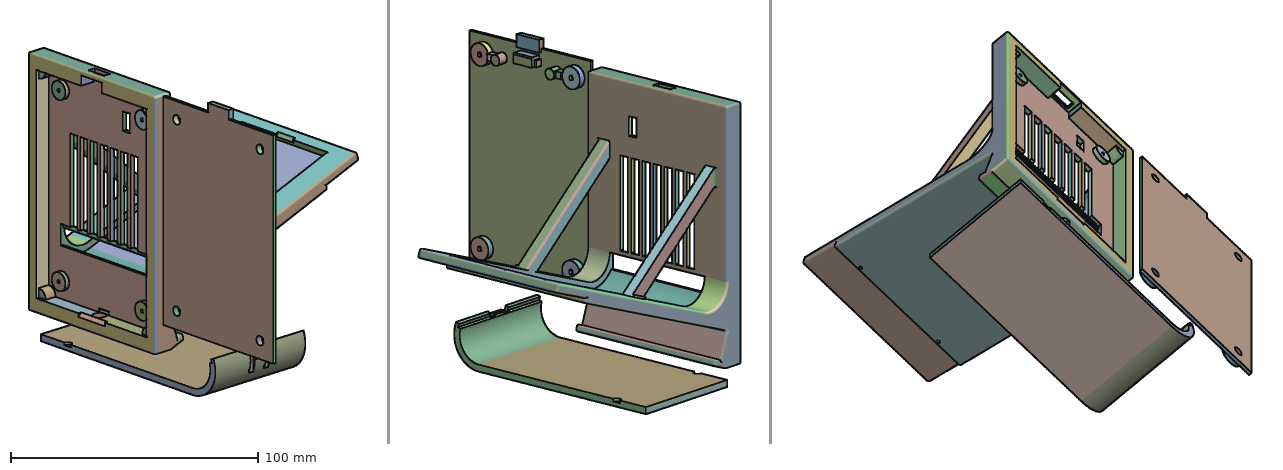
import cadquery as cq
import math

OVERALL_X = 144.8
OVERALL_Y = 113.7
OVERALL_Z = 127.7
CUT = 1.5
EDGE_R = 1.0

HOUSING_W = 75.0
HOUSING_H = 110.9
HOUSING_D = 9.0
HOUSING_TOP = 122.2
HOUSING_BOTTOM = HOUSING_TOP - HOUSING_H
HOUSING_MID_X = HOUSING_W / 2

OPENING_W = 65.0
OPENING_H = 98.0
BOX_DEPTH = 7.0
OPENING_X0 = (HOUSING_W - OPENING_W) / 2
OPENING_X1 = OPENING_X0 + OPENING_W
OPENING_Z0 = HOUSING_BOTTOM + (HOUSING_H - OPENING_H) / 2
OPENING_Z1 = OPENING_Z0 + OPENING_H

SCREW_INSET = 8.0
BOSS_R = 4.0
BOSS_LENGTH = 2.0
PILOT_D = 1.3
COVER_T = 1.5

TAB_W = 12.2
TAB_NOTCH_H = 4.5
LATCH_SLOT_W = 9.1
LATCH_Y0 = 2.8
LATCH_Y1 = 6.1

CABLE_HOLE_R = 2.9
CABLE_HOLE_Y = 4.5
CABLE_NOTCH_H = 1.6
FINGER_W = 15.6
FINGER_DEPTH = 1.6

GRILLE_COUNT = 7
GRILLE_PITCH = 6.0
GRILLE_SLOT_W = 4.0
GRILLE_Z0 = 49.8
GRILLE_Z1 = 90.0

PORT_X = 50.7
PORT_Z = 103.4
PORT_W = 4.0
PORT_H = 8.4

TRAY_ANGLE = 20.0
TRAY_COS = math.cos(math.radians(TRAY_ANGLE))
TRAY_SIN = math.sin(math.radians(TRAY_ANGLE))
TRAY_Z = 33.6
TRAY_TIP_T = 4.0
TRAY_T = 6.0
TIP_ROUND_LOSS = 0.22
TRAY_TIP = (OVERALL_Y - HOUSING_D - TRAY_TIP_T * TRAY_SIN) / TRAY_COS + TIP_ROUND_LOSS
TRAY_STEP = 91.0
CORNER_R = 10.0

HEEL_BACK = -2.5
FOOT_END = 0.6
FOOT_TOP_DEPTH = 18.0
FOOT_BOTTOM_DEPTH = 21.0

RECESS_W = 50.8
RECESS_DEPTH = 3.0
RECESS_END = 104.5
RECESS_X0 = HOUSING_MID_X - RECESS_W / 2
PRY_W = 10.0
PRY_L = 1.5
PIN_INSET = 2.3
PIN_ALONG = 89.0
WINDOW_Z0 = 40.5
WINDOW_DEPTH = 1.5

STRUT_ANGLE = 40.0
STRUT_T = 6.2
STRUT_W = 5.4
STRUT_TOP_Z = 95.1
BLEND_R = 1.0

COVER_H = 98.0
COVER_X0 = OVERALL_X - OPENING_W
COVER_MID_X = OVERALL_X - OPENING_W / 2
TAB_H = 4.0
TAB_T = 2.8
COVER_Z1 = OVERALL_Z - TAB_H
COVER_Z0 = COVER_Z1 - COVER_H
COVER_BOSS_R = 4.8
COVER_BOSS_Y = 4.3
SCREW_D = 2.0
SCREW_HEAD_D = 4.0
SCREW_HEAD_DEPTH = 2.9
STUD_R = 2.3
STUD_Y = 6.1
STUD_OFFSET = 14.6
WEB_T = 2.9
WEB_Y = 5.0
CATCH_DROP = 7.2
CATCH_BASE_Y = 4.5
CATCH_BASE_H = 2.9
CATCH_W = 9.8
CATCH_H = 4.3
CATCH_BEVEL = 0.6

BASE_X0 = 7.7
BASE_W = 50.1
BASE_T = 3.0
CURL_R = 13.3
CURL_X = 97.3
CURL_RISE = 24.0
LIP_T = 1.6
LIP_TOP = 18.5
SNAP_SLOT_W = 2.5
SNAP_TONGUE_W = 6.1
SNAP_FLOOR_Z = 16.2
SNAP_BACK_X = 109.5
TONGUE_BACK_X = 110.2
TONGUE_TOP_Z = 17.4
EDGE_NOTCH_X = 23.5
EDGE_NOTCH_R = 1.9
EDGE_NOTCH_DEPTH = 1.2


def box(x0, x1, y0, y1, z0, z1):
    return cq.Workplane("XY").box(x1 - x0, y1 - y0, z1 - z0, centered=False).translate((x0, y0, z0))


def y_cylinder(x, z, radius, y0, y1):
    return cq.Workplane("XZ").center(x, z).circle(radius).extrude(y0 - y1).translate((0, y0, 0))


def prism_x(points, x0, x1):
    return cq.Workplane("YZ").polyline(points).close().extrude(x1 - x0).translate((x0, 0, 0))


def tray_point(along, depth):
    """(Y, Z) of a point given along the tray's slope and below its top plane."""
    y = HOUSING_D + along * TRAY_COS + depth * TRAY_SIN
    z = TRAY_Z + along * TRAY_SIN - depth * TRAY_COS
    return (y, z)


def corner_points(x0, x1, z0, z1, inset):
    return [(x, z) for x in (x0 + inset, x1 - inset) for z in (z0 + inset, z1 - inset)]


def tray_prism(along0, along1, depth0, depth1, x0, x1):
    corners = [(along0, depth0), (along1, depth0), (along1, depth1), (along0, depth1)]
    return prism_x([tray_point(*corner) for corner in corners], x0, x1)


CORNER_Y = HOUSING_D + CORNER_R
CORNER_Z = TRAY_Z + CORNER_R * (TRAY_SIN + 1) / TRAY_COS


def housing_shell():
    foot_bottom = (HOUSING_BOTTOM - TRAY_Z + FOOT_BOTTOM_DEPTH * TRAY_COS) / TRAY_SIN
    profile = [
        (0, HOUSING_BOTTOM),
        (0, HOUSING_TOP),
        (HOUSING_D, HOUSING_TOP),
        (HOUSING_D, TRAY_Z),
        tray_point(TRAY_TIP, 0),
        tray_point(TRAY_TIP, TRAY_TIP_T),
        tray_point(TRAY_STEP, TRAY_TIP_T),
        tray_point(TRAY_STEP, TRAY_T),
        tray_point(HEEL_BACK, TRAY_T),
        tray_point(HEEL_BACK, FOOT_TOP_DEPTH),
        tray_point(FOOT_END, FOOT_TOP_DEPTH),
        tray_point(FOOT_END, FOOT_BOTTOM_DEPTH),
        tray_point(foot_bottom, FOOT_BOTTOM_DEPTH),
    ]
    rounded = [profile[i] for i in (0, 1, 2, 4, 5, 7, 8, 10, 11)]
    shell = prism_x(profile, 0, HOUSING_W)

    def edge_at(point):
        return cq.selectors.NearestToPointSelector((HOUSING_MID_X, *point))

    shell = shell.edges(edge_at((HOUSING_D, TRAY_Z))).fillet(CORNER_R)
    for point in rounded:
        shell = shell.edges("|X").edges(edge_at(point)).fillet(EDGE_R)
    return shell.faces("<X or >X").edges().fillet(EDGE_R)


def strut(x0):
    """Slanted brace whose inner edge lines up with the screen recess."""
    drop = math.tan(math.radians(STRUT_ANGLE))
    slope = math.tan(math.radians(TRAY_ANGLE))
    low_z = STRUT_TOP_Z - STRUT_T / math.cos(math.radians(STRUT_ANGLE))
    root = EDGE_R

    def on_tray(z):
        y = HOUSING_D + (z - TRAY_Z) / (drop + slope)
        return (y + root, z - (y + root - HOUSING_D) * drop)

    def on_wall(z):
        return (HOUSING_D - root, z + root * drop)

    profile = [on_wall(low_z), on_wall(STRUT_TOP_Z), on_tray(STRUT_TOP_Z), on_tray(low_z)]
    bar = prism_x(profile, x0, x0 + STRUT_W).edges(">X and (not |Y) and (not |Z)").edges("not <Z")
    bar = bar.fillet(BLEND_R)

    flare = prism_x(profile, x0 - BLEND_R, x0)
    centre_x = x0 - BLEND_R
    wall_strip = box(centre_x, x0, HOUSING_D, HOUSING_D + BLEND_R, TRAY_Z, HOUSING_TOP)
    wall_round = (
        cq.Workplane("XY").center(centre_x, HOUSING_D + BLEND_R).circle(BLEND_R).extrude(HOUSING_TOP)
    )
    tray_strip = tray_prism(0, TRAY_TIP, -BLEND_R, 0, centre_x, x0)
    tray_round = (
        cq.Workplane("XY").center(centre_x, BLEND_R).circle(BLEND_R).extrude(TRAY_TIP)
        .rotate((0, 0, 0), (1, 0, 0), TRAY_ANGLE - 90)
        .translate((0, HOUSING_D, TRAY_Z))
    )
    blends = wall_strip.cut(wall_round).union(tray_strip.cut(tray_round))
    return bar.union(flare.intersect(blends))


def front_box():
    """Cavity behind the opening, less the screw bosses and corner posts left standing in it."""
    cavity = box(OPENING_X0, OPENING_X1, -CUT, BOX_DEPTH, OPENING_Z0, OPENING_Z1)
    boss_face = BOX_DEPTH - BOSS_LENGTH
    for x, z in corner_points(OPENING_X0, OPENING_X1, OPENING_Z0, OPENING_Z1, SCREW_INSET):
        cavity = cavity.cut(y_cylinder(x, z, BOSS_R, boss_face, BOX_DEPTH))
        cavity = cavity.union(y_cylinder(x, z, PILOT_D / 2, boss_face, BOX_DEPTH))
    for x, z in corner_points(OPENING_X0, OPENING_X1, OPENING_Z0, OPENING_Z1, 0):
        cavity = cavity.cut(y_cylinder(x, z, BOSS_R, COVER_T, BOX_DEPTH))
    return cavity


def cover_latch_cuts():
    """Notch and slot in the top wall for the cover's tab and catch."""
    notch = box(
        HOUSING_MID_X - TAB_W / 2, HOUSING_MID_X + TAB_W / 2,
        -CUT, BOX_DEPTH,
        OPENING_Z1 - CUT, OPENING_Z1 + TAB_NOTCH_H,
    )
    slot = box(
        HOUSING_MID_X - LATCH_SLOT_W / 2, HOUSING_MID_X + LATCH_SLOT_W / 2,
        LATCH_Y0, LATCH_Y1,
        OPENING_Z1, HOUSING_TOP + CUT,
    )
    return notch.union(slot)


def bottom_wall_cuts():
    """Cable hole down through the bottom wall and a bevelled finger notch in front of it."""
    hole = (
        cq.Workplane("XY", origin=(HOUSING_MID_X, CABLE_HOLE_Y, HOUSING_BOTTOM - CUT))
        .circle(CABLE_HOLE_R).extrude(OPENING_Z0 - HOUSING_BOTTOM + CUT)
    )
    relief = box(
        HOUSING_MID_X - CABLE_HOLE_R, HOUSING_MID_X + CABLE_HOLE_R,
        CABLE_HOLE_Y, CABLE_HOLE_Y + CABLE_HOLE_R,
        OPENING_Z0, OPENING_Z0 + CABLE_NOTCH_H,
    )
    bevel = [(0, OPENING_Z0 - FINGER_DEPTH), (FINGER_DEPTH, OPENING_Z0), (0, OPENING_Z0)]
    notch = prism_x(bevel, HOUSING_MID_X - FINGER_W / 2, HOUSING_MID_X + FINGER_W / 2)
    return hole.union(relief).union(notch)


def rear_wall_cuts():
    """Vent grille and port through the wall behind the box."""
    y0 = BOX_DEPTH - CUT
    y1 = HOUSING_D + CUT
    cuts = box(
        PORT_X - PORT_W / 2, PORT_X + PORT_W / 2, y0, y1, PORT_Z - PORT_H / 2, PORT_Z + PORT_H / 2
    )
    for i in range(GRILLE_COUNT):
        x = HOUSING_MID_X + (i - (GRILLE_COUNT - 1) / 2) * GRILLE_PITCH
        cuts = cuts.union(
            box(x - GRILLE_SLOT_W / 2, x + GRILLE_SLOT_W / 2, y0, y1, GRILLE_Z0, GRILLE_Z1)
        )
    return cuts


def screen_recess():
    """Recess in the tray that runs round the corner and opens into the box."""
    x0 = RECESS_X0
    x1 = RECESS_X0 + RECESS_W
    trough_r = CORNER_R + RECESS_DEPTH
    corner_along = CORNER_R * (1 + TRAY_SIN) / TRAY_COS
    recess = tray_prism(corner_along, RECESS_END, -CUT, RECESS_DEPTH, x0, x1)

    trough = cq.Workplane("YZ").center(CORNER_Y, CORNER_Z).circle(trough_r).extrude(RECESS_W)
    trough = trough.translate((x0, 0, 0))
    below_centre = box(x0, x1, BOX_DEPTH, CORNER_Y + trough_r * TRAY_SIN, 0, CORNER_Z)
    window = box(x0, x1, BOX_DEPTH - CUT, BOX_DEPTH + WINDOW_DEPTH, WINDOW_Z0, GRILLE_Z0)

    bevel = [(RECESS_END, 0), (RECESS_END + PRY_L, 0), (RECESS_END, PRY_L)]
    pry_notch = prism_x(
        [tray_point(*corner) for corner in bevel],
        HOUSING_MID_X - PRY_W / 2, HOUSING_MID_X + PRY_W / 2,
    )
    cuts = recess.union(trough.intersect(below_centre)).union(window).union(pry_notch)
    pin_y, pin_z = tray_point(PIN_ALONG, TRAY_T + CUT)
    for x in (x0 + PIN_INSET, x1 - PIN_INSET):
        pin = (
            cq.Workplane("XY").circle(PILOT_D / 2).extrude(TRAY_T + CUT)
            .rotate((0, 0, 0), (1, 0, 0), TRAY_ANGLE)
            .translate((x, pin_y, pin_z))
        )
        cuts = cuts.union(pin)
    return cuts


def make_housing():
    left_strut = strut(RECESS_X0 - STRUT_W)
    right_strut = left_strut.mirror("YZ").translate((HOUSING_W, 0, 0))
    housing = housing_shell().union(left_strut).union(right_strut)
    for cuts in (front_box(), cover_latch_cuts(), bottom_wall_cuts(), rear_wall_cuts(), screen_recess()):
        housing = housing.cut(cuts)
    return housing


def cover_catch():
    """Stepped catch behind the tab, with a bevelled tip."""
    z0 = COVER_Z1 - CATCH_DROP
    base = box(
        COVER_MID_X - TAB_W / 2, COVER_MID_X + TAB_W / 2, 0, CATCH_BASE_Y, z0, z0 + CATCH_BASE_H
    )
    tip = box(COVER_MID_X - CATCH_W / 2, COVER_MID_X + CATCH_W / 2, 0, LATCH_Y1, z0, z0 + CATCH_H)
    tip = tip.edges(">Y and >Z").chamfer(CATCH_BEVEL)
    return base.union(tip)


def make_cover():
    cover = box(COVER_X0, OVERALL_X, 0, COVER_T, COVER_Z0, COVER_Z1)
    tab = box(
        COVER_MID_X - TAB_W / 2, COVER_MID_X + TAB_W / 2, 0, TAB_T, COVER_Z1 - CUT, OVERALL_Z
    )
    cover = cover.union(tab).union(cover_catch())

    screws = corner_points(COVER_X0, OVERALL_X, COVER_Z0, COVER_Z1, SCREW_INSET)
    for x, z in screws:
        cover = cover.union(y_cylinder(x, z, COVER_BOSS_R, 0, COVER_BOSS_Y))

    stud_z = COVER_Z1 - SCREW_INSET
    for side in (-1, 1):
        stud_x = COVER_MID_X + side * STUD_OFFSET
        boss_x = COVER_MID_X + side * (OPENING_W / 2 - SCREW_INSET)
        web_x0, web_x1 = sorted((stud_x, boss_x))
        web = box(web_x0, web_x1, 0, WEB_Y, stud_z - WEB_T / 2, stud_z + WEB_T / 2)
        web = web.cut(y_cylinder(boss_x, stud_z, COVER_BOSS_R, COVER_BOSS_Y, WEB_Y))
        cover = cover.union(web).union(y_cylinder(stud_x, stud_z, STUD_R, 0, STUD_Y))

    for x, z in screws:
        cover = cover.cut(y_cylinder(x, z, SCREW_D / 2, -CUT, COVER_BOSS_Y + CUT))
        cover = cover.cut(y_cylinder(x, z, SCREW_HEAD_D / 2, -CUT, SCREW_HEAD_DEPTH))
    return cover


def curl_point(radius, angle):
    """(X, Z) on the curl, with the angle in degrees up from horizontal."""
    turn = math.radians(angle)
    return (CURL_X + radius * math.cos(turn), CURL_R + radius * math.sin(turn))


def snap_cuts():
    """Two slots in the curl's rim, with a lowered tongue left between them."""
    far_x = CURL_X + CURL_R + CUT
    mid_y = BASE_W / 2
    tongue_y0 = mid_y - SNAP_TONGUE_W / 2
    tongue_y1 = mid_y + SNAP_TONGUE_W / 2
    cuts = box(TONGUE_BACK_X, far_x, tongue_y0, tongue_y1, CURL_R, LIP_TOP + CUT)
    cuts = cuts.union(box(CURL_X, far_x, tongue_y0, tongue_y1, TONGUE_TOP_Z, LIP_TOP + CUT))
    for y0 in (tongue_y0 - SNAP_SLOT_W, tongue_y1):
        y1 = y0 + SNAP_SLOT_W
        cuts = cuts.union(box(CURL_X, far_x, y0, y1, SNAP_FLOOR_Z, LIP_TOP + CUT))
        cuts = cuts.union(box(SNAP_BACK_X, far_x, y0, y1, BASE_T, SNAP_FLOOR_Z))
    return cuts


def edge_notches():
    """Shallow half-round notches in the two long edges of the plate."""
    floor_z = BASE_T - EDGE_NOTCH_DEPTH
    centres = [(EDGE_NOTCH_X, 0), (EDGE_NOTCH_X, BASE_W)]
    return (
        cq.Workplane("XY", origin=(0, 0, floor_z)).pushPoints(centres)
        .circle(EDGE_NOTCH_R).extrude(EDGE_NOTCH_DEPTH + CUT)
    )


def make_base():
    inner_r = CURL_R - BASE_T
    shoulder = math.degrees(math.asin((SNAP_FLOOR_Z - CURL_R) / inner_r))
    base = (
        cq.Workplane("XZ")
        .moveTo(BASE_X0, 0)
        .lineTo(CURL_X, 0)
        .threePointArc(curl_point(CURL_R, -45), curl_point(CURL_R, CURL_RISE))
        .lineTo(*curl_point(CURL_R - LIP_T, CURL_RISE))
        .lineTo(*curl_point(CURL_R - LIP_T, shoulder))
        .lineTo(*curl_point(inner_r, shoulder))
        .threePointArc(curl_point(inner_r, -45), (CURL_X, BASE_T))
        .lineTo(BASE_X0, BASE_T)
        .close()
        .extrude(-BASE_W)
    )
    return base.cut(snap_cuts()).cut(edge_notches())


housing = make_housing()
cover = make_cover()
base = make_base()
result = cq.Compound.makeCompound([housing.solids().val(), cover.solids().val(), base.solids().val()])